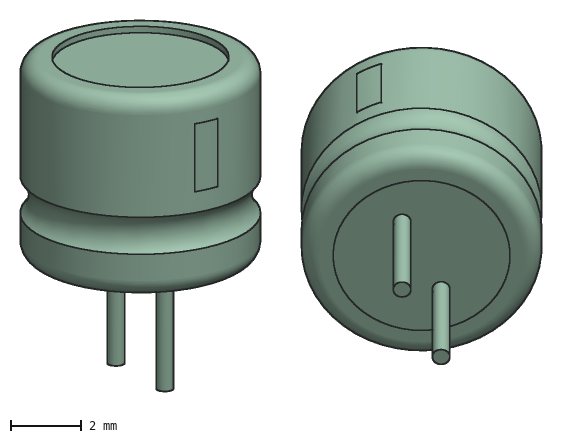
import cadquery as cq

BODY_DIAMETER = 6.8
TOTAL_HEIGHT = 9.6
PIN_LENGTH = 3.6
BODY_HEIGHT = TOTAL_HEIGHT - PIN_LENGTH
BODY_RADIUS = BODY_DIAMETER / 2

RIM_RADIUS = 0.5
GROOVE_CENTER_Z = 1.86
GROOVE_WIDTH = 1.11
GROOVE_DEPTH = 0.24
GROOVE_BOTTOM_Z = GROOVE_CENTER_Z - GROOVE_WIDTH / 2
GROOVE_TOP_Z = GROOVE_CENTER_Z + GROOVE_WIDTH / 2

CAN_DIAMETER = 5.0
CAN_RECESS = 0.19
CAN_HEIGHT = BODY_HEIGHT - CAN_RECESS

PIN_DIAMETER = 0.5
PIN_SPACING = 2.51

MARK_WIDTH = 0.77
MARK_BOTTOM_Z = 3.05
MARK_TOP_Z = 5.1
MARK_THICKNESS = 0.1


def make_plain_sleeve():
    """Grooved tube with rounded outer rims, before the mark is inlaid."""
    profile = (
        cq.Workplane("XZ")
        .moveTo(CAN_DIAMETER / 2, 0)
        .lineTo(BODY_RADIUS - RIM_RADIUS, 0)
        .radiusArc((BODY_RADIUS, RIM_RADIUS), -RIM_RADIUS)
        .lineTo(BODY_RADIUS, GROOVE_BOTTOM_Z)
        .threePointArc(
            (BODY_RADIUS - GROOVE_DEPTH, GROOVE_CENTER_Z),
            (BODY_RADIUS, GROOVE_TOP_Z),
        )
        .lineTo(BODY_RADIUS, BODY_HEIGHT - RIM_RADIUS)
        .radiusArc((BODY_RADIUS - RIM_RADIUS, BODY_HEIGHT), -RIM_RADIUS)
        .lineTo(CAN_DIAMETER / 2, BODY_HEIGHT)
        .close()
    )
    return profile.revolve(360, (0, 0, 0), (0, 1, 0))


def make_polarity_mark():
    """Curved rectangular patch whose outer face is flush with the sleeve."""
    ring = (
        cq.Workplane("XY", origin=(0, 0, MARK_BOTTOM_Z))
        .circle(BODY_RADIUS)
        .circle(BODY_RADIUS - MARK_THICKNESS)
        .extrude(MARK_TOP_Z - MARK_BOTTOM_Z)
    )
    window = cq.Workplane("XY").box(
        BODY_DIAMETER, MARK_WIDTH, BODY_HEIGHT, centered=(False, True, False)
    )
    return ring.intersect(window).solids()


def make_can():
    return cq.Workplane("XY").circle(CAN_DIAMETER / 2).extrude(CAN_HEIGHT)


def make_pin(x):
    return cq.Workplane("XY").center(x, 0).circle(PIN_DIAMETER / 2).extrude(-PIN_LENGTH)


polarity_mark = make_polarity_mark()
sleeve = make_plain_sleeve().cut(polarity_mark).solids()
can = make_can()
pins = [make_pin(side * PIN_SPACING / 2) for side in (-1, 1)]

result = cq.Compound.makeCompound(
    [sleeve.val(), can.val(), polarity_mark.val(), *[pin.val() for pin in pins]]
)